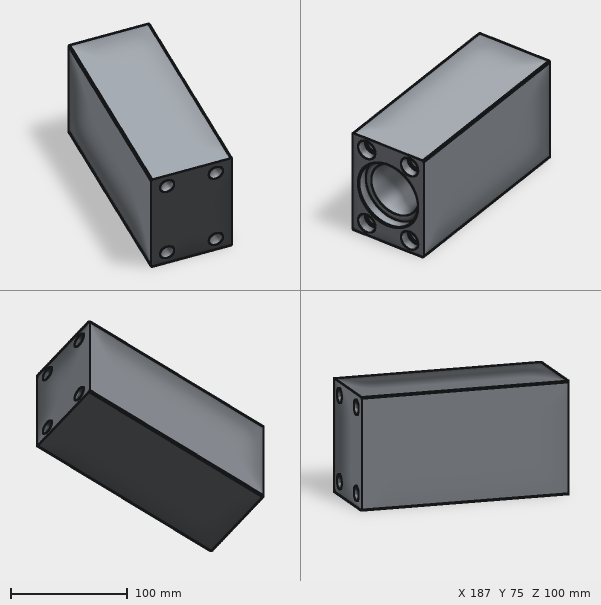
import cadquery as cq

length = 187.0
width = 75.0
height = 100.0
edge_chamfer = 1.1

bore_diameter = 50.1
end_wall = 18.7
recess_diameter = 61.7
recess_depth = 10.5
mouth_chamfer = 0.7

bolt_spacing_y = 45.0
bolt_spacing_z = 76.0
bolt_hole_diameter = 13.0
counterbore_diameter = 18.0
counterbore_depth = 10.0

face_x = -length / 2


def cylinder_from_face(diameter, depth, y=0, z=0):
    """Cylinder running from the -X face into the block, parallel to X."""
    start = cq.Vector(face_x, y, z)
    return cq.Workplane(cq.Solid.makeCylinder(diameter / 2, depth, start, cq.Vector(1, 0, 0)))


def make_block():
    """Rectangular block with its four long edges chamfered."""
    return cq.Workplane("XY").box(length, width, height).edges("|X").chamfer(edge_chamfer)


def make_bore():
    """Bore, recess and the conical chamfer at the mouth of the recess."""
    bore = cylinder_from_face(bore_diameter, length - end_wall)
    recess = cylinder_from_face(recess_diameter, recess_depth)
    mouth_radius = recess_diameter / 2 + mouth_chamfer
    mouth = cq.Workplane(
        cq.Solid.makeCone(
            mouth_radius,
            recess_diameter / 2,
            mouth_chamfer,
            cq.Vector(face_x, 0, 0),
            cq.Vector(1, 0, 0),
        )
    )
    return bore.union(recess).union(mouth)


def make_bolt_hole(y, z):
    """Through hole with a counterbore on the -X face."""
    hole = cylinder_from_face(bolt_hole_diameter, length, y, z)
    return hole.union(cylinder_from_face(counterbore_diameter, counterbore_depth, y, z))


result = make_block().cut(make_bore())
for side_y in (-1, 1):
    for side_z in (-1, 1):
        result = result.cut(make_bolt_hole(side_y * bolt_spacing_y / 2, side_z * bolt_spacing_z / 2))